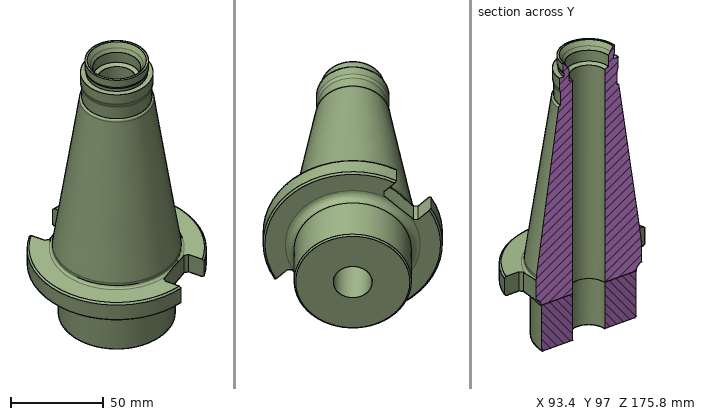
import cadquery as cq
import math

total_height = 175.8

nut_diameter = 63.5
nut_radius = nut_diameter / 2
nut_height = 29.0
nut_chamfer = 0.9

flange_radius = 48.5
flange_bottom = 33.8
flange_top = 45.9
flange_chamfer = 1.0
underside_fillet = flange_bottom - nut_height

slot_width = 26.2
slot_floor_x = 35.3
slot_corner_chamfer = 1.8

taper_ratio = 7 / 24
taper_base_diameter = 69.8
taper_base_radius = taper_base_diameter / 2
taper_base_z = 49.0
taper_root_fillet = 1.5
taper_top_z = 149.3
taper_top_radius = taper_base_radius - (taper_top_z - taper_base_z) * taper_ratio / 2

neck_radius = 19.0
taper_end_rounding = taper_top_radius - neck_radius
taper_end_z = taper_top_z + taper_end_rounding
neck_top = 158.5
collar_radius = 19.7
collar_bottom = 161.2
collar_top = 167.7
groove_radius = 16.7
groove_shoulder_z = 169.6
ring_radius = 17.2
ring_bottom = 170.9

bore_radius = 10.5
counterbore_radius = 13.0
counterbore_depth = 11.8
counterbore_cone_depth = 12.8
mouth_radius = 16.0
mouth_step_radius = 14.2
mouth_step_depth = 2.8
mouth_depth = 5.0


def make_holder_blank():
    """Revolve the taper, flange and pilot as one solid without its bore."""
    diagonal = math.sqrt(0.5)
    underside_outer = nut_radius + underside_fillet
    root_outer = taper_base_radius + taper_root_fillet
    root_top = flange_top + taper_root_fillet
    profile = (
        cq.Workplane("XZ")
        .moveTo(0, nut_height)
        .lineTo(nut_radius, nut_height)
        .threePointArc(
            (underside_outer - underside_fillet * diagonal, nut_height + underside_fillet * diagonal),
            (underside_outer, flange_bottom),
        )
        .lineTo(flange_radius - flange_chamfer, flange_bottom)
        .lineTo(flange_radius, flange_bottom + flange_chamfer)
        .lineTo(flange_radius, flange_top - flange_chamfer)
        .lineTo(flange_radius - flange_chamfer, flange_top)
        .lineTo(root_outer, flange_top)
        .threePointArc(
            (root_outer - taper_root_fillet * diagonal, root_top - taper_root_fillet * diagonal),
            (taper_base_radius, root_top),
        )
        .lineTo(taper_base_radius, taper_base_z)
        .lineTo(taper_top_radius, taper_top_z)
        .threePointArc(
            (neck_radius + taper_end_rounding * diagonal, taper_top_z + taper_end_rounding * diagonal),
            (neck_radius, taper_end_z),
        )
        .lineTo(neck_radius, neck_top)
        .lineTo(collar_radius, collar_bottom)
        .lineTo(collar_radius, collar_top)
        .lineTo(groove_radius, collar_top)
        .lineTo(groove_radius, groove_shoulder_z)
        .lineTo(ring_radius, ring_bottom)
        .lineTo(ring_radius, total_height)
        .lineTo(0, total_height)
        .close()
    )
    return profile.revolve(360, (0, 0, 0), (0, 1, 0))


def make_bore():
    """Drawbar bore: stepped conical mouth, counterbore and a plain hole to the holder's lower face."""
    profile = (
        cq.Workplane("XZ")
        .moveTo(0, nut_height)
        .lineTo(bore_radius, nut_height)
        .lineTo(bore_radius, total_height - counterbore_cone_depth)
        .lineTo(counterbore_radius, total_height - counterbore_depth)
        .lineTo(counterbore_radius, total_height - mouth_depth)
        .lineTo(mouth_step_radius, total_height - mouth_step_depth)
        .lineTo(mouth_radius, total_height)
        .lineTo(0, total_height)
        .close()
    )
    return profile.revolve(360, (0, 0, 0), (0, 1, 0))


def make_drive_slot(side):
    """Slot with chamfered inner corners, opening on the +X (side = 1) or -X (side = -1) rim."""
    half_width = slot_width / 2
    floor_half_width = half_width - slot_corner_chamfer
    shoulder_x = slot_floor_x + slot_corner_chamfer
    outline = [
        (side * flange_radius, -half_width),
        (side * shoulder_x, -half_width),
        (side * slot_floor_x, -floor_half_width),
        (side * slot_floor_x, floor_half_width),
        (side * shoulder_x, half_width),
        (side * flange_radius, half_width),
    ]
    slot_height = taper_base_z - nut_height
    return cq.Workplane("XY", origin=(0, 0, nut_height)).polyline(outline).close().extrude(slot_height)


def make_holder():
    holder = make_holder_blank().cut(make_bore())
    for side in (-1, 1):
        holder = holder.cut(make_drive_slot(side))
    return holder


def make_nut():
    """Plain round nut with a chamfered lower rim, bored through in line with the holder."""
    nut = cq.Workplane("XY").circle(nut_radius).extrude(nut_height)
    nut = nut.faces("<Z").edges().chamfer(nut_chamfer)
    return nut.faces(">Z").workplane().circle(bore_radius).cutThruAll()


holder = make_holder()
nut = make_nut()

result = cq.Compound.makeCompound([holder.val(), nut.val()])